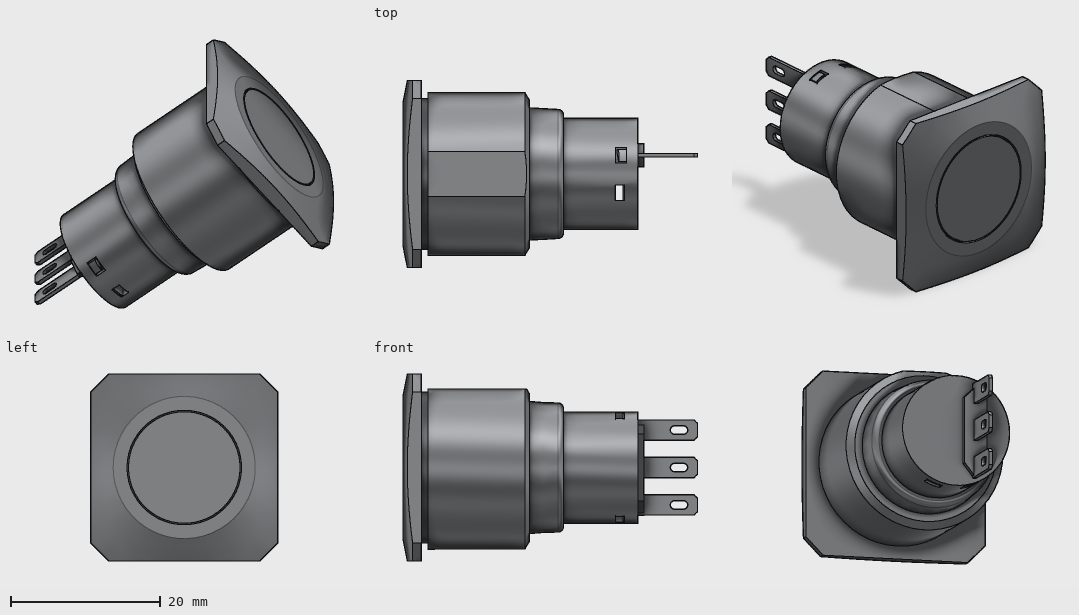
import cadquery as cq
import math


bezel_width = 25.0
bezel_corner_chamfer = 2.4
bezel_back_x = 2.5
front_face_diameter = 19.0
front_slope = 0.2

button_diameter = 14.9
button_gap_diameter = 15.3
button_gap_depth = 0.5

neck_diameter = 20.2
neck_end_x = 3.35
body_diameter = 21.84
body_end_x = 16.9
body_chamfer_length = 0.6
body_chamfer_angle = 60.0
body_flat_height = 10.5

collar_front_diameter = 17.7
collar_rear_diameter = 17.2
collar_end_x = 21.5
collar_fillet = 0.8
barrel_diameter = 14.9
barrel_end_x = 31.4

opening_front_x = 28.4
opening_width = 2.05
opening_offset = 2.5
slot_length = 1.0
slot_ledge_length = 0.2
slot_ledge_depth = 0.1
pocket_length = 1.5
pocket_depth = 0.6
latch_length = 1.25
latch_ramp_length = 0.25
latch_ramp_bottom_z = 6.3
latch_ramp_top_z = 6.8
latch_width = 1.6
latch_depth = 0.15

terminal_y = 2.5
base_thickness = 0.8
base_width = 3.1
base_straight_half = 4.45
base_top_z = 5.9
base_bottom_z = -6.4
tab_count = 3
tab_pitch = 5.0
tab_width = 2.75
tab_thickness = 0.5
tab_end_x = 39.4
tab_tip_length = 0.5
tab_tip_height = 0.5
tab_hole_length = 2.3
tab_hole_width = 1.1
tab_hole_center_x = 36.9


def box_between(x_range, y_range, z_range):
    """Axis-aligned box given by its limits."""
    sizes = [high - low for low, high in (x_range, y_range, z_range)]
    corner = (x_range[0], y_range[0], z_range[0])
    return cq.Workplane("XY").box(*sizes, centered=False).translate(corner)


def cylinder(start_x, end_x, diameter):
    """Cylinder along the switch axis."""
    return cq.Workplane("YZ").workplane(offset=start_x).circle(diameter / 2).extrude(end_x - start_x)


def make_bezel():
    """Square plate with cut corners and a shallow conical front."""
    plate = (
        cq.Workplane("YZ")
        .rect(bezel_width, bezel_width)
        .extrude(bezel_back_x)
        .edges("|X")
        .chamfer(bezel_corner_chamfer)
    )
    face_radius = front_face_diameter / 2
    cone_radius = bezel_width * math.sqrt(2) / 2
    cone_drop = front_slope * (cone_radius - face_radius)
    envelope = (
        cq.Workplane("XY")
        .polyline([
            (0, 0),
            (0, face_radius),
            (cone_drop, cone_radius),
            (bezel_back_x, cone_radius),
            (bezel_back_x, 0),
        ])
        .close()
        .revolve(360, (0, 0, 0), (1, 0, 0))
    )
    return plate.intersect(envelope)


def make_button_gap():
    """Thin ring groove around the button."""
    outer = cylinder(0, button_gap_depth, button_gap_diameter)
    return outer.cut(cylinder(0, button_gap_depth, button_diameter))


def make_body():
    """Main body with a chamfered rear edge and one flat on top."""
    radius = body_diameter / 2
    chamfer_height = body_chamfer_length * math.tan(math.radians(body_chamfer_angle))
    body = (
        cq.Workplane("XY")
        .polyline([
            (neck_end_x, 0),
            (neck_end_x, radius),
            (body_end_x - body_chamfer_length, radius),
            (body_end_x, radius - chamfer_height),
            (body_end_x, 0),
        ])
        .close()
        .revolve(360, (0, 0, 0), (1, 0, 0))
    )
    above_flat = box_between(
        (neck_end_x, body_end_x), (-radius, radius), (body_flat_height, body_diameter)
    )
    return body.cut(above_flat)


def make_collar():
    """Slightly tapered collar with a rounded rear edge."""
    collar = (
        cq.Workplane("XY")
        .polyline([
            (body_end_x, 0),
            (body_end_x, collar_front_diameter / 2),
            (collar_end_x, collar_rear_diameter / 2),
            (collar_end_x, 0),
        ])
        .close()
        .revolve(360, (0, 0, 0), (1, 0, 0))
    )
    return collar.faces(">X").edges().fillet(collar_fillet)


def make_opening_block(length, width, side_y):
    """Block across the whole barrel, starting at the front edge of the openings."""
    return box_between(
        (opening_front_x, opening_front_x + length),
        (side_y - width / 2, side_y + width / 2),
        (-barrel_diameter / 2, barrel_diameter / 2),
    )


def make_barrel_core(depth):
    """Barrel shape reduced in radius by the given depth."""
    return cylinder(collar_end_x, barrel_end_x, barrel_diameter - 2 * depth)


def make_through_slot():
    """Slot across the barrel with a shallow ledge behind each mouth."""
    slot = make_opening_block(slot_length, opening_width, -opening_offset)
    mouths = make_opening_block(slot_length + slot_ledge_length, opening_width, -opening_offset)
    return slot.union(mouths.cut(make_barrel_core(slot_ledge_depth)))


def make_latch():
    """Latch with a ramped nose, curved to stay just below the barrel surface."""
    rear_x = opening_front_x + pocket_length
    nose_x = rear_x - latch_length
    top_z = barrel_diameter / 2
    profile = (
        cq.Workplane("XZ", origin=(0, opening_offset, 0))
        .polyline([
            (nose_x, 0),
            (nose_x, latch_ramp_bottom_z),
            (nose_x + latch_ramp_length, latch_ramp_top_z),
            (nose_x + latch_ramp_length, top_z),
            (rear_x, top_z),
            (rear_x, 0),
        ])
        .close()
        .extrude(latch_width / 2, both=True)
    )
    return profile.union(profile.mirror("XY")).intersect(make_barrel_core(latch_depth))


def make_latch_pockets():
    """Opposite pockets on the top and bottom of the barrel, each around a latch."""
    pockets = make_opening_block(pocket_length, opening_width, opening_offset)
    return pockets.cut(make_barrel_core(pocket_depth)).cut(make_latch())


def make_terminal_base():
    """Long base with pointed ends behind the barrel, carrying the tabs."""
    front_y = terminal_y - base_width / 2
    back_y = terminal_y + base_width / 2
    return (
        cq.Workplane("YZ")
        .workplane(offset=barrel_end_x)
        .polyline([
            (front_y, -base_straight_half),
            (terminal_y, base_bottom_z),
            (back_y, -base_straight_half),
            (back_y, base_straight_half),
            (terminal_y, base_top_z),
            (front_y, base_straight_half),
        ])
        .close()
        .extrude(base_thickness)
    )


def make_tab(center_z):
    """Flat solder tab with a clipped tip and an oblong hole."""
    half_width = tab_width / 2
    tip_start_x = tab_end_x - tab_tip_length
    tip_half_width = half_width - tab_tip_height
    plane = cq.Workplane("XZ", origin=(0, terminal_y, center_z))
    blade = (
        plane.polyline([
            (barrel_end_x, -half_width),
            (tip_start_x, -half_width),
            (tab_end_x, -tip_half_width),
            (tab_end_x, tip_half_width),
            (tip_start_x, half_width),
            (barrel_end_x, half_width),
        ])
        .close()
        .extrude(tab_thickness / 2, both=True)
    )
    hole = (
        plane.center(tab_hole_center_x, 0)
        .slot2D(tab_hole_length, tab_hole_width)
        .extrude(tab_thickness, both=True)
    )
    return blade.cut(hole)


bezel = make_bezel().cut(make_button_gap())
neck = cylinder(bezel_back_x, neck_end_x, neck_diameter)
barrel = cylinder(collar_end_x, barrel_end_x, barrel_diameter)

barrel = barrel.cut(make_through_slot()).cut(make_latch_pockets())

result = bezel.union(neck).union(make_body()).union(make_collar()).union(barrel)
result = result.union(make_terminal_base())
for index in range(tab_count):
    tab_z = (index - (tab_count - 1) / 2) * tab_pitch
    result = result.union(make_tab(tab_z))